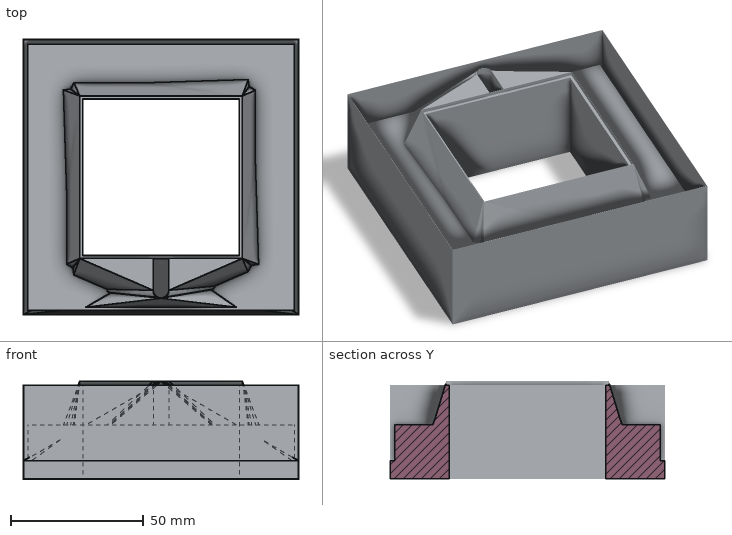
import cadquery as cq
import math

SIDE = 104.0
WALL_TOP = 35.5
WALL_THICKNESS = 0.1
MOAT_FLOOR = 7.0

FLOOR_SIDE = 100.5
FLOOR_TOP = 20.6

TOTAL_HEIGHT = 37.0
CHIMNEY_SIDE = 61.4
LIP_THICKNESS = 0.05
HOLE_SIDE = 59.0
LEDGE_HEIGHT = 35.5

NOSE_RADIUS = 3.0
NOSE_CENTRE_Y = -42.7
NOSE_STEPS = 6
SLOT_RADIUS = 2.9

FOOT_CORNER = [(34.6, -39.8), (37.1, -35.4), (42.0, -34.8)]


def block(side, bottom, top):
    """Square block centred on the Z axis."""
    return cq.Workplane("XY").workplane(offset=bottom).rect(side, side).extrude(top - bottom)


def quarter_turn(points, turns):
    """Rotate XY points about the Z axis by a number of quarter turns."""
    for _ in range(turns):
        points = [(-y, x) for x, y in points]
    return points


def at_height(points, z):
    """Lift XY points to a given height."""
    return [cq.Vector(x, y, z) for x, y in points]


def planar_face(corners):
    return cq.Face.makeFromWires(cq.Wire.makePolygon(corners, close=True))


def make_tray():
    moat = block(SIDE - 2 * WALL_THICKNESS, MOAT_FLOOR, WALL_TOP)
    raised_floor = block(FLOOR_SIDE, MOAT_FLOOR, FLOOR_TOP)
    return block(SIDE, 0, WALL_TOP).cut(moat).union(raised_floor)


def make_hood():
    """Faceted flare from the chimney rim and nose down to a pinwheel-shaped foot."""
    half_rim = CHIMNEY_SIDE / 2
    rim_corners = [
        (half_rim, -half_rim),
        (half_rim, half_rim),
        (-half_rim, half_rim),
        (-half_rim, -half_rim),
    ]
    rim = at_height(rim_corners, TOTAL_HEIGHT)
    feet = [at_height(quarter_turn(FOOT_CORNER, turn), MOAT_FLOOR) for turn in range(4)]

    nose_angles = [math.pi * (1 + step / (2 * NOSE_STEPS)) for step in range(2 * NOSE_STEPS + 1)]
    nose = at_height(
        [(NOSE_RADIUS * math.cos(a), NOSE_CENTRE_Y + NOSE_RADIUS * math.sin(a)) for a in nose_angles],
        TOTAL_HEIGHT,
    )
    tip = nose[NOSE_STEPS]

    reach = SIDE / 2 - WALL_THICKNESS
    toe_left, toe_right = at_height([(-reach, -reach), (reach, -reach)], MOAT_FLOOR)

    foot_outline = [toe_left, toe_right] + [point for foot in feet for point in foot]
    faces = [planar_face(rim + nose), planar_face(foot_outline)]

    for top, foot in zip(rim, feet):
        faces.append(planar_face([top, foot[0], foot[1]]))
        faces.append(planar_face([top, foot[1], foot[2]]))

    for side in range(3):
        faces.append(planar_face([rim[side], feet[side][-1], feet[side + 1][0]]))
        faces.append(planar_face([rim[side], feet[side + 1][0], rim[side + 1]]))

    foot_right = feet[0][0]
    foot_left = feet[3][-1]
    faces.append(planar_face([rim[0], nose[-1], foot_right]))
    faces.append(planar_face([rim[3], nose[0], foot_left]))
    for step in range(NOSE_STEPS):
        faces.append(planar_face([nose[step], nose[step + 1], foot_left]))
        faces.append(planar_face([nose[-1 - step], nose[-2 - step], foot_right]))
    faces.append(planar_face([tip, foot_left, toe_left]))
    faces.append(planar_face([tip, foot_right, toe_right]))
    faces.append(planar_face([tip, toe_left, toe_right]))

    hood = cq.Solid.makeSolid(cq.Shell.makeShell(faces))
    return cq.Workplane("XY").newObject([hood.fix()])


def make_slot():
    """Round-ended slot from the chimney rim to the nose, down to the raised floor."""
    slot_start_y = -CHIMNEY_SIDE / 2
    depth = TOTAL_HEIGHT - FLOOR_TOP
    return (
        cq.Workplane("XY")
        .workplane(offset=FLOOR_TOP)
        .moveTo(-SLOT_RADIUS, slot_start_y)
        .lineTo(-SLOT_RADIUS, NOSE_CENTRE_Y)
        .threePointArc((0, NOSE_CENTRE_Y - SLOT_RADIUS), (SLOT_RADIUS, NOSE_CENTRE_Y))
        .lineTo(SLOT_RADIUS, slot_start_y)
        .close()
        .extrude(depth)
    )


socket = block(CHIMNEY_SIDE - 2 * LIP_THICKNESS, LEDGE_HEIGHT, TOTAL_HEIGHT)
through_hole = block(HOLE_SIDE, 0, TOTAL_HEIGHT)

result = make_tray().union(make_hood()).cut(make_slot()).cut(socket).cut(through_hole)